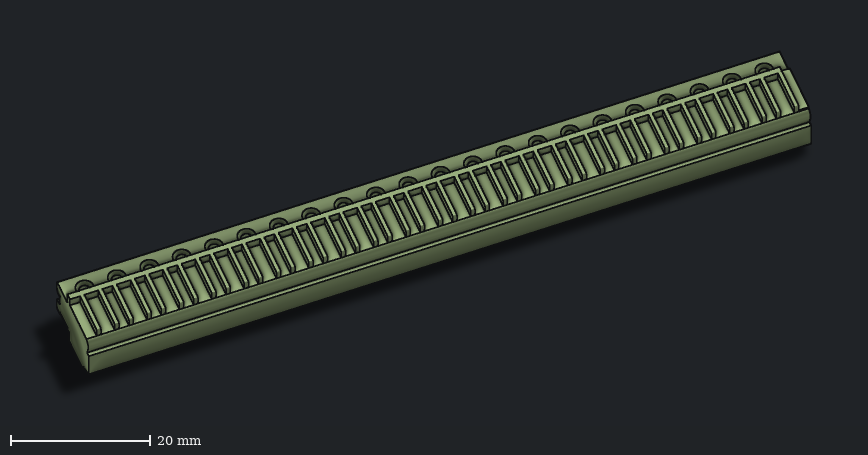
import cadquery as cq

length = 111.5
width = 12.5
height = 10.6

row_count = 22
row_pitch = 5.0
first_row = (length - (row_count - 1) * row_pitch) / 2

shelf_top = 8.5
shelf_underside = 2.5
lip_bottom = 2.0
lip_width = 1.2
edge_round = 0.3
groove_depth = 1.1
groove_bottom = 4.3
groove_top = 6.1
groove_lead_in = 0.5
foot_step = 4.1
foot_left = 4.7
foot_right = 10.3
foot_side_height = 0.7
slope_top = 1.7
ridge_left = 4.0
ridge_right = 11.6

side_ledge = 6.1
latch_root = 11.8
latch_reach = 12.3
latch_height = 7.6
shoulder_right = 12.0
shoulder_height = 8.7

pocket_left = 5.1
pocket_floor = 9.1
far_ledge = 9.5
wide_pocket = 2.1
rib_thickness = 0.7
narrow_pocket = row_pitch - wide_pocket - 2 * rib_thickness
end_recess = first_row - wide_pocket / 2 - rib_thickness

hole_x = 2.6
hole_top_diameter = 2.7
hole_floor_diameter = 1.7
hole_depth = 0.6


def round_long_edge(body, x, z):
    """Round the edge along Y that passes through the given X and Z."""
    edge = cq.selectors.NearestToPointSelector((x, length / 2, z))
    return body.edges(edge).fillet(edge_round)


def make_body():
    """Extrude the strip section along Y and round its exposed edges."""
    latch_point = (latch_reach, latch_height)
    shoulder = (shoulder_right, shoulder_height)
    shoulder_top = (ridge_right, pocket_floor)
    lower_outline = [
        (0, groove_top + groove_lead_in),
        (groove_lead_in, groove_top),
        (groove_depth, groove_top),
        (groove_depth, groove_bottom),
        (0, groove_bottom),
        (0, lip_bottom),
        (lip_width, lip_bottom),
        (lip_width, shelf_underside),
        (foot_step, shelf_underside),
        (foot_step, lip_bottom),
        (foot_left, lip_bottom),
        (foot_left, 0),
        (foot_right, 0),
        (foot_right, foot_side_height),
        (width, slope_top),
        (width, side_ledge),
        (latch_root, side_ledge),
        latch_point,
    ]
    section = (
        cq.Workplane("XZ")
        .moveTo(0, shelf_top)
        .polyline(lower_outline, includeCurrent=True)
        .threePointArc(shoulder, shoulder_top)
        .lineTo(ridge_right, height)
        .lineTo(ridge_left, height)
        .lineTo(ridge_left, shelf_top)
        .close()
    )
    body = section.extrude(-length)
    rounded = [
        (0, shelf_top),
        (0, groove_bottom),
        (0, lip_bottom),
        (ridge_left, height),
        (ridge_right, height),
    ]
    for x, z in rounded:
        body = round_long_edge(body, x, z)
    return body


def make_pocket(left, floor, start, end):
    """Block above the given floor height, from the given X out past the ridge."""
    size = (width - left, end - start, height - floor)
    return cq.Workplane("XY").box(*size, centered=False).translate((left, start, floor))


def make_screw_hole(y):
    """Shallow conical recess in the shelf."""
    return (
        cq.Workplane("XY", origin=(hole_x, y, shelf_top))
        .circle(hole_top_diameter / 2)
        .workplane(offset=-hole_depth)
        .circle(hole_floor_diameter / 2)
        .loft()
    )


result = make_body()

result = result.cut(make_pocket(ridge_left, far_ledge, length - end_recess, length))
ledge_edge = cq.selectors.NearestToPointSelector((ridge_left, length - end_recess / 2, far_ledge))
result = result.edges(ledge_edge).fillet(edge_round)

result = result.cut(make_pocket(pocket_left, pocket_floor, 0, end_recess))

for row in range(row_count):
    row_y = first_row + row * row_pitch
    wide_start = row_y - wide_pocket / 2
    wide_end = wide_start + wide_pocket
    result = result.cut(make_pocket(pocket_left, pocket_floor, wide_start, wide_end))
    result = result.cut(make_screw_hole(row_y))
    if row < row_count - 1:
        narrow_start = wide_end + rib_thickness
        narrow_end = narrow_start + narrow_pocket
        result = result.cut(make_pocket(pocket_left, pocket_floor, narrow_start, narrow_end))